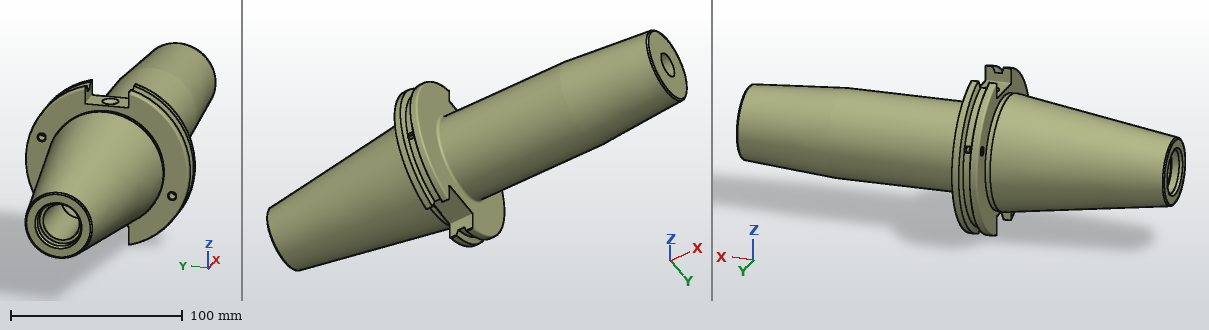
import cadquery as cq
import math


taper_length = 101.6
projection = 160.0

gauge_diameter = 69.85
taper_ratio = 7 / 24
small_end_chamfer = 0.8
neck_diameter = 69.25
neck_start = 1.5

flange_diameter = 98.425
flange_start = 3.18
flange_end = 19.05
rim_fillet = 1.2
groove_center = 11.1
groove_top_width = 6.8
groove_floor_width = 4.0
groove_floor_radius = 45.4

body_diameter = 53.0
body_fillet = 1.6
nose_start = 102.6
nose_end_diameter = 44.65
nose_chamfer = 0.9

mouth_diameter = 28.2
mouth_chamfer_depth = 1.8
counterbore_diameter = 26.2
counterbore_depth = 6.3
thread_bore_diameter = 21.97
thread_bore_depth = 45.0
through_diameter = 14.92
drill_point_angle = 118.0

slot_width = 26.2
upper_slot_floor = 37.7
lower_slot_floor = 35.3
slot_edge_break = 0.33
slot_corner_radius = 0.7
dimple_diameter = 9.53

coolant_circle_radius = 41.9
coolant_angle = 20.0
coolant_mouth_diameter = 5.0
coolant_mouth_depth = 0.5
coolant_thread_diameter = 4.2
coolant_depth = groove_center - flange_start
groove_outlet_diameter = 4.13


def revolve_profile(points):
    """Solid of revolution about X from (x, radius) points, closed along the axis."""
    outline = [(points[0][0], 0)] + points + [(points[-1][0], 0)]
    return cq.Workplane("XY").polyline(outline).close().revolve(360, (0, 0, 0), (1, 0, 0))


def drill_point_length(radius_drop):
    return radius_drop / math.tan(math.radians(drill_point_angle / 2))


def circle_edge(body, x, radius):
    """Select the circular edge of body centred on the axis at x."""
    return body.edges("%CIRCLE").filter(
        lambda edge: math.isclose(edge.arcCenter().x, x) and math.isclose(edge.radius(), radius)
    )


def holder_body():
    gauge_radius = gauge_diameter / 2
    small_end_radius = gauge_radius - taper_length * taper_ratio / 2
    flange_radius = flange_diameter / 2
    body_radius = body_diameter / 2
    nose_radius = nose_end_diameter / 2
    body = revolve_profile([
        (-taper_length, small_end_radius - small_end_chamfer),
        (-taper_length + small_end_chamfer, small_end_radius + small_end_chamfer * taper_ratio / 2),
        (0, gauge_radius),
        (neck_start, neck_diameter / 2),
        (flange_start, neck_diameter / 2),
        (flange_start, flange_radius),
        (groove_center - groove_top_width / 2, flange_radius),
        (groove_center - groove_floor_width / 2, groove_floor_radius),
        (groove_center + groove_floor_width / 2, groove_floor_radius),
        (groove_center + groove_top_width / 2, flange_radius),
        (flange_end, flange_radius),
        (flange_end, body_radius),
        (nose_start, body_radius),
        (projection - nose_chamfer, nose_radius),
        (projection, nose_radius - nose_chamfer),
    ])
    body = circle_edge(body, flange_start, flange_radius).fillet(rim_fillet)
    body = circle_edge(body, flange_end, flange_radius).fillet(rim_fillet)
    return circle_edge(body, flange_end, body_radius).fillet(body_fillet)


def axial_bore():
    mouth_radius = mouth_diameter / 2
    counterbore_radius = counterbore_diameter / 2
    thread_radius = thread_bore_diameter / 2
    through_radius = through_diameter / 2
    drill_point_end = thread_bore_depth + drill_point_length(thread_radius - through_radius)
    return revolve_profile([
        (-taper_length, mouth_radius),
        (-taper_length + mouth_chamfer_depth, counterbore_radius),
        (-taper_length + counterbore_depth, counterbore_radius),
        (-taper_length + counterbore_depth, thread_radius),
        (-taper_length + thread_bore_depth, thread_radius),
        (-taper_length + drill_point_end, through_radius),
        (projection, through_radius),
    ])


def drive_slot(side, floor_height):
    """Slot through the flange rim at +Z (side = 1) or -Z (side = -1), with broken rim edges."""
    half_width = slot_width / 2
    top = flange_diameter / 2
    broken_half_width = half_width + slot_edge_break
    rim_height = math.sqrt(top**2 - broken_half_width**2)
    half_outline = [
        (half_width, floor_height),
        (half_width, rim_height - slot_edge_break),
        (broken_half_width, rim_height),
        (broken_half_width, top),
    ]
    outline = half_outline + [(-y, z) for y, z in reversed(half_outline)]
    slot = (
        cq.Workplane("YZ", origin=(flange_start, 0, 0))
        .polyline([(y, side * z) for y, z in outline])
        .close()
        .extrude(flange_end - flange_start)
    )
    floor_side = "<Z" if side > 0 else ">Z"
    return slot.faces(floor_side).edges("|X").fillet(slot_corner_radius)


def floor_dimple():
    """Conical dimple in the upper slot floor, centred on the gripper groove."""
    radius = dimple_diameter / 2
    entry = cq.Vector(groove_center, 0, upper_slot_floor)
    return cq.Workplane(cq.Solid.makeCone(radius, 0, drill_point_length(radius), entry, cq.Vector(0, 0, -1)))


def coolant_hole(angle):
    """Stepped axial hole from the rear flange face, with a radial outlet into the groove."""
    outward = cq.Vector(0, math.cos(math.radians(angle)), math.sin(math.radians(angle)))
    entry = outward * coolant_circle_radius + cq.Vector(flange_start, 0, 0)
    along_x = cq.Vector(1, 0, 0)
    mouth = cq.Solid.makeCylinder(coolant_mouth_diameter / 2, coolant_mouth_depth, entry, along_x)
    thread = cq.Solid.makeCylinder(coolant_thread_diameter / 2, coolant_depth, entry, along_x)
    outlet = cq.Solid.makeCylinder(
        groove_outlet_diameter / 2,
        flange_diameter / 2 - coolant_circle_radius,
        outward * coolant_circle_radius + cq.Vector(groove_center, 0, 0),
        outward,
    )
    return mouth.fuse(thread, outlet)


result = holder_body().cut(axial_bore())
result = result.cut(drive_slot(1, upper_slot_floor))
result = result.cut(drive_slot(-1, lower_slot_floor))
result = result.cut(floor_dimple())
for angle in (coolant_angle, coolant_angle + 180):
    result = result.cut(cq.Workplane(coolant_hole(angle)))